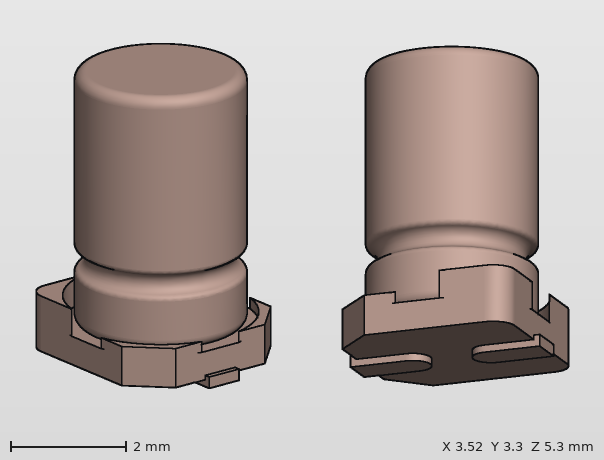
import cadquery as cq

total_height = 5.3

base_width = 3.3
base_bottom = 0.13
base_low_top = 0.85
base_high_top = 1.15
base_corner_radius = 0.4
base_chamfer = base_width / 5
pocket_radius = 1.7
pocket_floor = 0.65

can_radius = 1.5
can_edge_radius = 0.2
groove_height = 1.85
groove_radius = 0.2
groove_edge_radius = 0.1

lead_span = 3.52
lead_gap = 0.8
lead_width = base_width / 5
lead_thickness = 0.21


def make_base():
    """Square base, rounded at -X and chamfered at +X, with a lower +X half and a round pocket."""
    base = (
        cq.Workplane("XY", origin=(0, 0, base_bottom))
        .rect(base_width, base_width)
        .extrude(base_high_top - base_bottom)
    )
    base = base.edges("|Z and <X").fillet(base_corner_radius)
    base = base.edges("|Z and >X").chamfer(base_chamfer)

    pocket = (
        cq.Workplane("XY", origin=(0, 0, pocket_floor))
        .circle(pocket_radius)
        .extrude(base_high_top - pocket_floor)
    )
    lowered_half = (
        cq.Workplane("XY", origin=(base_width / 2, 0, base_low_top))
        .rect(base_width, base_width)
        .extrude(base_high_top - base_low_top)
    )
    return base.cut(pocket).cut(lowered_half)


def make_can():
    """Can standing on the pocket floor, with rounded ends and a crimp groove near its foot."""
    can = (
        cq.Workplane("XY", origin=(0, 0, pocket_floor))
        .circle(can_radius)
        .extrude(total_height - pocket_floor)
        .faces("<Z or >Z")
        .edges()
        .fillet(can_edge_radius)
    )
    groove = cq.Workplane(cq.Solid.makeTorus(can_radius, groove_radius, cq.Vector(0, 0, groove_height)))
    can = can.cut(groove)

    reach = groove_radius + groove_edge_radius
    groove_rims = cq.selectors.BoxSelector(
        (-reach, -reach, groove_height - reach),
        (reach, reach, groove_height + reach),
    )
    return can.edges(groove_rims).fillet(groove_edge_radius)


def make_lead(side):
    """Flat lead along X with a half-round inner end; side is -1 for -X and +1 for +X."""
    half_width = lead_width / 2
    inner_end = side * lead_gap / 2
    round_start = inner_end + side * half_width
    outer_end = side * lead_span / 2
    return (
        cq.Workplane("XY")
        .moveTo(outer_end, -half_width)
        .lineTo(round_start, -half_width)
        .threePointArc((inner_end, 0), (round_start, half_width))
        .lineTo(outer_end, half_width)
        .close()
        .extrude(lead_thickness)
    )


result = make_base().union(make_can())
for lead_side in (-1, 1):
    result = result.union(make_lead(lead_side))